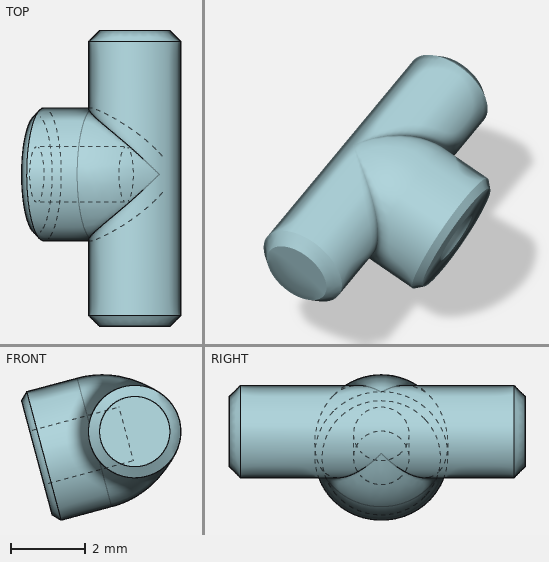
import math

import cadquery as cq

ROD_DIAMETER = 2.5
ROD_LENGTH = 8.0
ROD_CHAMFER = 0.3

HEAD_DIAMETER = 3.6
HEAD_FACE_DISTANCE = 2.74
HEAD_CHAMFER = 0.2
HEAD_OFFSET = 0.11
HEAD_TILT = 15.0

DOME_DISTANCE = 1.13
DOME_END_ANGLE = 43.0

HOLE_DIAMETER = 1.5
HOLE_DEPTH = 2.5

ROD_RADIUS = ROD_DIAMETER / 2
HEAD_RADIUS = HEAD_DIAMETER / 2


def make_rod():
    """Round rod along Y with both ends chamfered."""
    rod_end = (0, ROD_LENGTH / 2, 0)
    rod = cq.Workplane("XZ", origin=rod_end).circle(ROD_RADIUS).extrude(ROD_LENGTH)
    return rod.faces("<Y or >Y").chamfer(ROD_CHAMFER)


def make_head():
    """Domed head with its axis along X and its flat face towards -X.

    The dome is one parabolic curve, tangent to the head side and to the rod circle.
    """
    end_angle = math.radians(DOME_END_ANGLE)
    dome_end = (ROD_RADIUS * math.cos(end_angle), ROD_RADIUS * math.sin(end_angle))
    dome_corner = ((ROD_RADIUS - HEAD_RADIUS * math.sin(end_angle)) / math.cos(end_angle), HEAD_RADIUS)
    profile = (
        cq.Workplane("XY")
        .moveTo(-HEAD_FACE_DISTANCE, 0)
        .lineTo(-HEAD_FACE_DISTANCE, HEAD_RADIUS - HEAD_CHAMFER)
        .lineTo(-HEAD_FACE_DISTANCE + HEAD_CHAMFER, HEAD_RADIUS)
        .lineTo(-DOME_DISTANCE, HEAD_RADIUS)
        .bezier([dome_corner, dome_end], includeCurrent=True)
        .lineTo(dome_end[0], 0)
        .close()
    )
    return profile.revolve(360, (0, 0, 0), (1, 0, 0))


def make_hole():
    """Blind hole running from the head face along +X."""
    face_center = (-HEAD_FACE_DISTANCE, 0, 0)
    return cq.Workplane("YZ", origin=face_center).circle(HOLE_DIAMETER / 2).extrude(HOLE_DEPTH)


def place_on_rod(shape):
    """Tilt a shape about the rod axis and move it to the head position."""
    return shape.rotate((0, 0, 0), (0, 1, 0), -HEAD_TILT).translate((0, HEAD_OFFSET, 0))


result = make_rod().union(place_on_rod(make_head())).cut(place_on_rod(make_hole()))